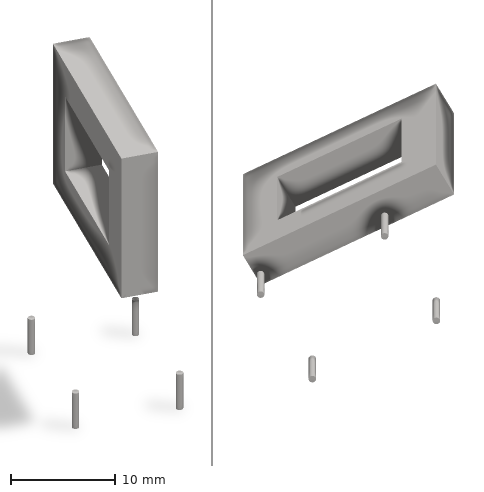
import cadquery as cq

total_height = 32.5
core_length = 21.0
core_depth = 3.7
core_height = 16.05
frame_width = 3.75

pin_diameter = 0.7
pin_height = 4.05
pin_spacing_x = 13.5
pin_span_y = 11.2
pin_spacing_y = pin_span_y - pin_diameter

core_bottom = total_height - core_height
window_length = core_length - 2 * frame_width
window_height = core_height - 2 * frame_width


def make_core():
    """Frame centred on X and Y, its window running through along Y."""
    frame_outline = cq.Workplane("XZ").rect(core_length, core_height).rect(window_length, window_height)
    frame = frame_outline.extrude(core_depth / 2, both=True)
    return frame.translate((0, 0, core_bottom + core_height / 2))


def make_pin(x, y):
    """Round pin standing on the plane Z = 0."""
    return cq.Workplane("XY").center(x, y).circle(pin_diameter / 2).extrude(pin_height)


core = make_core()

pins = []
for side_x in (-1, 1):
    for side_y in (-1, 1):
        pin = make_pin(side_x * pin_spacing_x / 2, side_y * pin_spacing_y / 2)
        pins.append(pin.val())

result = cq.Compound.makeCompound([core.solids().val(), *pins])